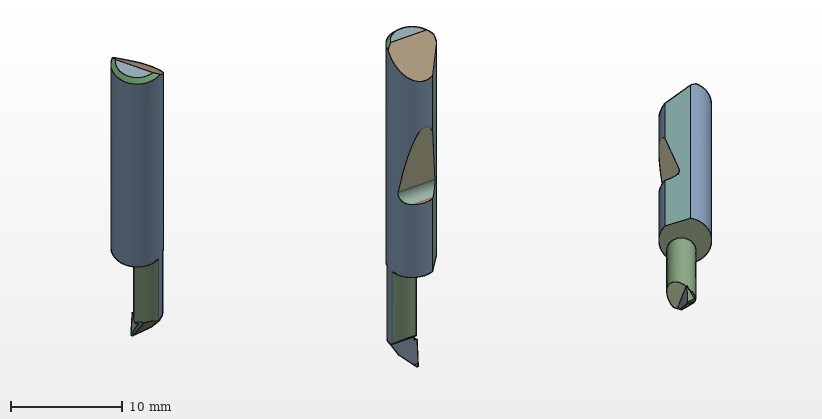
import cadquery as cq
import math

length = 37.75
shank_radius = 2.38
shank_bottom = 12.35
end_chamfer = 0.4
bevel_start_y = -0.65
flat_distance = 2.05
flat_direction = 142.0

pocket_top = 29.4
pocket_bottom = 20.72
pocket_floor_y = 0.95
pocket_fillet = 1.0

neck_radius = 1.32
neck_center_x = 1.1
notch_top = 4.9
rake_y = 0.0

tip_top = 3.2
tip_left_x = -0.65
tip_lean = 0.04
nose_right = (-0.3, 0.2)
edge_bend = (1.45, 2.15)
edge_end = (shank_radius, 3.9)
edge_relief = 1.5
nose_relief = 3.0

cut_size = 3 * length
overshoot = 0.38


def half_space(point, normal):
    """Block filling the side of a plane that the normal points to."""
    plane = cq.Plane(origin=point, normal=normal)
    return cq.Workplane(plane).rect(cut_size, cut_size).extrude(cut_size)


def across_x(points):
    """YZ outline extruded right across the shank."""
    return cq.Workplane("YZ").polyline(points).close().extrude(2 * shank_radius, both=True)


def make_shank():
    shank = cq.Workplane("XY").workplane(offset=shank_bottom).circle(shank_radius)
    shank = shank.extrude(length - shank_bottom).faces(">Z").chamfer(end_chamfer)
    shank = shank.cut(half_space((0, bevel_start_y, length), (0, 1, 1)))

    angle = math.radians(flat_direction)
    outward = (math.cos(angle), math.sin(angle), 0)
    flat_point = (flat_distance * outward[0], flat_distance * outward[1], 0)
    return shank.cut(half_space(flat_point, outward))


def make_pocket():
    pocket = across_x([
        (shank_radius, pocket_top),
        (pocket_floor_y, pocket_bottom),
        (2 * shank_radius, pocket_bottom),
        (2 * shank_radius, pocket_top),
    ])
    return pocket.edges("|X and <Y").fillet(pocket_fillet)


def make_neck_and_tip():
    neck = cq.Workplane("XY").center(neck_center_x, 0).circle(neck_radius).extrude(shank_bottom)
    tip_depth = neck_center_x - tip_left_x
    tip = (
        cq.Workplane("XY")
        .polyline([(tip_left_x, 0), (neck_center_x, 0), (neck_center_x, -tip_depth)])
        .close()
        .extrude(tip_top)
    )
    tip = tip.intersect(cq.Workplane("XY").rect(cut_size, 2 * neck_radius).extrude(tip_top))
    side_relief = half_space((tip_left_x, 0, 0), (-1, -1, tip_lean))
    below_shoulder = cq.Workplane("XY").rect(cut_size, cut_size).extrude(tip_top)
    body = neck.union(tip).cut(side_relief.intersect(below_shoulder))
    body = body.intersect(cq.Workplane("XY").circle(shank_radius).extrude(shank_bottom))

    notch_corner = notch_top - (neck_radius - rake_y)
    notch = across_x([
        (rake_y, -overshoot),
        (rake_y, notch_corner),
        (rake_y + 2 * neck_radius, notch_corner + 2 * neck_radius),
        (rake_y + 2 * neck_radius, -overshoot),
    ])
    body = body.cut(notch)

    slope = (edge_bend[1] - nose_right[1]) / (edge_bend[0] - nose_right[0])
    edge_point = (nose_right[0], rake_y, nose_right[1])
    body = body.cut(half_space(edge_point, (slope, -edge_relief, -1)))
    body = body.cut(half_space((0, rake_y, 0), (0, -nose_relief, -1)))
    steep_slope = (edge_end[1] - edge_bend[1]) / (edge_end[0] - edge_bend[0])
    bend_point = (edge_bend[0], rake_y, edge_bend[1])
    return body.cut(half_space(bend_point, (steep_slope, 0, -1)))


result = make_shank().cut(make_pocket()).union(make_neck_and_tip())